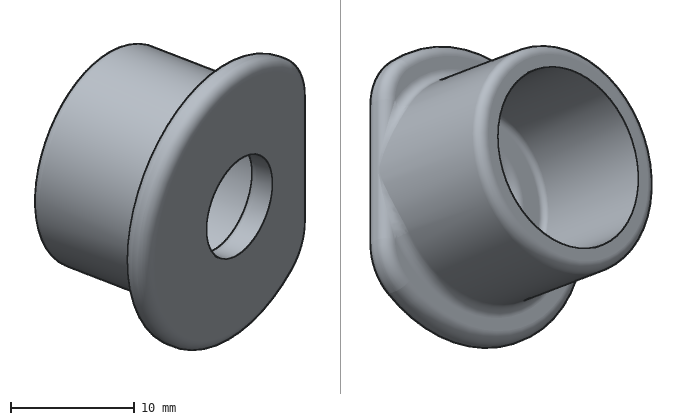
import cadquery as cq
import math

total_length = 14.0
flange_thickness = 2.5
flange_radius = 25.08 / 2
barrel_radius = 19.14 / 2
bore_radius = 15.22 / 2
hole_radius = 8.95 / 2
floor_thickness = flange_thickness

flat_y = 9.58
flat_corner_radius = 5.02

flange_edge_radius = 1.0
mouth_edge_radius = 0.88
root_radius = 0.88
bore_floor_radius = 0.5
hole_edge_radius = 0.88

flange_x = total_length - flange_thickness
floor_x = total_length - floor_thickness


def cylinder(radius, start_x, end_x):
    """Solid cylinder along the X axis."""
    return cq.Workplane("YZ").workplane(offset=start_x).circle(radius).extrude(end_x - start_x)


def make_flange():
    """Disc with one flat, rounded corners at the flat and rounded rims."""
    disc = cylinder(flange_radius, flange_x, total_length)
    beyond_flat = (
        cq.Workplane("YZ")
        .workplane(offset=flange_x)
        .center(flat_y + flange_radius / 2, 0)
        .rect(flange_radius, 2 * flange_radius)
        .extrude(flange_thickness)
    )
    disc = disc.cut(beyond_flat)
    disc = disc.edges("|X and >Y").fillet(flat_corner_radius)
    return disc.faces("<X or >X").edges().fillet(flange_edge_radius)


def make_barrel():
    """Barrel reaching into the flange, with a rounded mouth."""
    barrel = cylinder(barrel_radius, 0, flange_x + flange_thickness / 2)
    return barrel.faces("<X").edges().fillet(mouth_edge_radius)


def is_root_edge(edge):
    """True for an edge where the barrel surface meets the flange."""
    tolerance = 0.003
    along_edge = 0.3
    point = edge.positionAt(along_edge)
    on_barrel = abs(math.hypot(point.y, point.z) - barrel_radius) < tolerance
    return on_barrel and point.x > flange_x - tolerance


def make_body():
    """Flange and barrel, blended by a concave round that runs out at the flat."""
    body = make_flange().union(make_barrel())
    root_edges = [edge for edge in body.edges().vals() if is_root_edge(edge)]
    return body.newObject(root_edges).fillet(root_radius)


def make_bore():
    """Blind bore from the open end with a rounded floor corner."""
    return cylinder(bore_radius, 0, floor_x).faces(">X").edges().fillet(bore_floor_radius)


def make_hole():
    """Hole through the floor, flared by a round on the bore side."""
    diagonal = math.sqrt(0.5)
    flare_radius = hole_radius + hole_edge_radius
    flare_end_x = floor_x + hole_edge_radius
    arc_middle = (
        flare_end_x - hole_edge_radius * diagonal,
        flare_radius - hole_edge_radius * diagonal,
    )
    profile = (
        cq.Workplane("XY")
        .moveTo(floor_x, 0)
        .lineTo(floor_x, flare_radius)
        .threePointArc(arc_middle, (flare_end_x, hole_radius))
        .lineTo(total_length, hole_radius)
        .lineTo(total_length, 0)
        .close()
    )
    return profile.revolve(360, (0, 0, 0), (1, 0, 0))


result = make_body().cut(make_bore()).cut(make_hole())